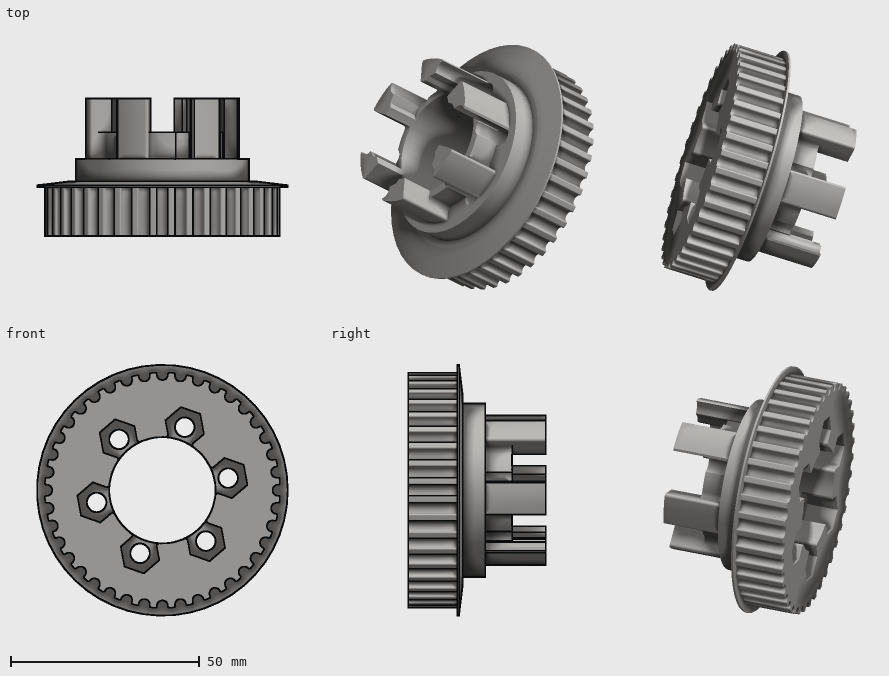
import cadquery as cq
import math

TOOTH_LENGTH = 13.0
RIM_THICKNESS = 0.5
CONE_HEIGHT = 1.0
HUB_LENGTH = 6.0
RING_LENGTH = 7.05
POST_LENGTH = 9.0

RIM_Y = TOOTH_LENGTH
CONE_Y = RIM_Y + RIM_THICKNESS
HUB_Y = CONE_Y + CONE_HEIGHT
RING_Y = HUB_Y + HUB_LENGTH
POST_Y = RING_Y + RING_LENGTH
END_Y = POST_Y + POST_LENGTH

FLANGE_RADIUS = 33.25
HUB_RADIUS = 46.0 / 2
CONE_TOP_RADIUS = 25.0
BORE_RADIUS = 28.1 / 2
POST_RADIUS = 20.35

TOOTH_COUNT = 40
TOOTH_PITCH = 360 / TOOTH_COUNT
TIP_RADIUS = 31.2
GROOVE_DEPTH = 2.0
GROOVE_RADIUS = 1.45
TIP_ROUND = 0.4

STATION_COUNT = 6
STATION_PITCH = 360 / STATION_COUNT
FIRST_BOLT_ANGLE = 10.5
BOLT_CIRCLE_RADIUS = 17.72
BOLT_HOLE_RADIUS = 5.1 / 2
NUT_WIDTH = 9.4
POCKET_DEPTH = 8.3
CORNER_ROUND = 0.7

SLOT_TURN = 25.5
SLOT_ANGLE = FIRST_BOLT_ANGLE + SLOT_TURN
SLOT_RADIUS = 1.63
SLOT_FLOOR_RADIUS = BOLT_CIRCLE_RADIUS - SLOT_RADIUS
HOLE_LIP_RADIUS = 19.95
HOLE_LIP_LEAD = 3.3
POST_LEAD = 5.0
TOE_RADIUS = 16.35
TOE_LEAD = 7.3
TOE_BEND_RADIUS = 15.3
TOE_BEND_LEAD = 15.3
TOE_ROOT_LEAD = 18.4

CLEAR_RADIUS = 26.6
COVER_RADIUS = CLEAR_RADIUS + 3.3
PICK_TOLERANCE = 0.005


def polar(radius, degrees):
    """Point in the XZ plane at a radius and an angle from +X toward +Z."""
    angle = math.radians(degrees)
    return (radius * math.cos(angle), radius * math.sin(angle))


def beside_slot(distance):
    """Point on the far slot flank: out along the slot angle and one slot radius past it."""
    along_x, along_z = polar(distance, SLOT_ANGLE)
    side_x, side_z = polar(SLOT_RADIUS, SLOT_ANGLE + 90)
    return (along_x + side_x, along_z + side_z)


def section(y):
    """Sketch plane facing -Y, so a negative extrusion runs toward +Y."""
    return cq.Workplane("XZ", origin=(0, y, 0))


def disc(radius, y_start, y_end):
    return section(y_start).circle(radius).extrude(y_start - y_end)


def prism(points, y_start, y_end):
    return section(y_start).polyline(points).close().extrude(y_start - y_end)


def turned(shape, degrees):
    return shape.rotate((0, 0, 0), (0, 1, 0), degrees)


def tooth_groove():
    """Round-bottomed groove at +Z whose sides roll over into the tooth tips."""
    center_z = TIP_RADIUS - GROOVE_DEPTH + GROOVE_RADIUS
    round_x = GROOVE_RADIUS + TIP_ROUND
    round_z = math.sqrt((TIP_RADIUS - TIP_ROUND) ** 2 - round_x**2)
    tip_angle = math.atan2(round_z, round_x)
    tip_x = TIP_RADIUS * math.cos(tip_angle)
    tip_z = TIP_RADIUS * math.sin(tip_angle)
    mid_angle = (tip_angle + math.pi) / 2
    mid_x = round_x + TIP_ROUND * math.cos(mid_angle)
    mid_z = round_z + TIP_ROUND * math.sin(mid_angle)
    return (
        section(0)
        .moveTo(-tip_x, tip_z)
        .threePointArc((-mid_x, mid_z), (-GROOVE_RADIUS, round_z))
        .lineTo(-GROOVE_RADIUS, center_z)
        .threePointArc((0, center_z - GROOVE_RADIUS), (GROOVE_RADIUS, center_z))
        .lineTo(GROOVE_RADIUS, round_z)
        .threePointArc((mid_x, mid_z), (tip_x, tip_z))
        .lineTo(tip_x, FLANGE_RADIUS)
        .lineTo(-tip_x, FLANGE_RADIUS)
        .close()
        .extrude(-TOOTH_LENGTH)
        .val()
    )


def toothed_wheel():
    groove = tooth_groove()
    grooves = [turned(groove, i * TOOTH_PITCH) for i in range(TOOTH_COUNT)]
    wheel = disc(TIP_RADIUS, 0, TOOTH_LENGTH).val()
    return cq.Workplane(wheel.cut(*grooves))


def flange_and_hub():
    """Thin rim, shallow cone and cylindrical hub, turned as one profile."""
    profile = [
        (0, RIM_Y),
        (FLANGE_RADIUS, RIM_Y),
        (FLANGE_RADIUS, CONE_Y),
        (CONE_TOP_RADIUS, HUB_Y),
        (HUB_RADIUS, HUB_Y),
        (HUB_RADIUS, RING_Y),
        (0, RING_Y),
    ]
    return cq.Workplane("XY").polyline(profile).close().revolve(360, (0, 0, 0), (0, 1, 0))


def nut_pocket():
    """Hexagonal pocket, flat side outward, whose inner side opens into the bore."""
    corner_radius = NUT_WIDTH / math.sqrt(3)
    center_x, center_z = polar(BOLT_CIRCLE_RADIUS, FIRST_BOLT_ANGLE)
    corners = []
    for i in range(6):
        offset_x, offset_z = polar(corner_radius, FIRST_BOLT_ANGLE + 30 + i * 60)
        corners.append((center_x + offset_x, center_z + offset_z))
    return prism(corners, 0, POCKET_DEPTH).val()


def bolt_hole():
    center = polar(BOLT_CIRCLE_RADIUS, FIRST_BOLT_ANGLE)
    return section(0).center(*center).circle(BOLT_HOLE_RADIUS).extrude(-END_Y).val()


def post_gap():
    """Full-height space between two posts, from the bolt hole to the straight slot flank."""
    bolt = FIRST_BOLT_ANGLE
    outline = [
        polar(BORE_RADIUS, bolt - TOE_ROOT_LEAD),
        polar(TOE_BEND_RADIUS, bolt - TOE_BEND_LEAD),
        polar(TOE_RADIUS, bolt - TOE_LEAD),
        polar(BOLT_CIRCLE_RADIUS, bolt),
        polar(HOLE_LIP_RADIUS, bolt - HOLE_LIP_LEAD),
        polar(POST_RADIUS, bolt - POST_LEAD),
        polar(CLEAR_RADIUS, bolt - POST_LEAD),
        beside_slot(CLEAR_RADIUS),
        beside_slot(0),
        (0, 0),
    ]
    return prism(outline, RING_Y, END_Y)


def bayonet_slot():
    """Gap between two posts that leaves a low ring with a round slot end at its foot."""
    gap = post_gap()
    tall = gap.cut(disc(COVER_RADIUS, RING_Y, POST_Y))
    end_center = polar(BOLT_CIRCLE_RADIUS, SLOT_ANGLE)
    inner_corner = prism(
        [beside_slot(0), beside_slot(BOLT_CIRCLE_RADIUS), end_center, (0, 0)], RING_Y, END_Y
    )
    round_end = section(RING_Y).center(*end_center).circle(SLOT_RADIUS).extrude(RING_Y - END_Y)
    low = gap.cut(inner_corner).union(round_end).cut(disc(SLOT_FLOOR_RADIUS, RING_Y, POST_Y))
    return low.union(tall).val()


def axial_edges(solid, radius, y_start, y_end):
    """Edges parallel to Y at a radius and within a stretch of the axis."""
    found = []
    for edge in solid.edges("|Y").vals():
        box = edge.BoundingBox()
        center = edge.Center()
        on_radius = abs(math.hypot(center.x, center.z) - radius) < PICK_TOLERANCE
        in_stretch = box.ymin > y_start - PICK_TOLERANCE and box.ymax < y_end + PICK_TOLERANCE
        if on_radius and in_stretch:
            found.append(edge)
    return found


def on_slot_flank(edge):
    """True for a post's outer edge beside a slot, false for one beside a bolt hole."""
    center = edge.Center()
    angle = math.degrees(math.atan2(center.z, center.x))
    turn = (angle - FIRST_BOLT_ANGLE) % STATION_PITCH
    return SLOT_TURN < turn < STATION_PITCH - 2 * POST_LEAD


body = toothed_wheel().union(flange_and_hub()).union(disc(POST_RADIUS, RING_Y, END_Y))
body = body.cut(disc(BORE_RADIUS, 0, END_Y))
for cutter in (bayonet_slot(), nut_pocket(), bolt_hole()):
    for i in range(STATION_COUNT):
        body = body.cut(cq.Workplane(turned(cutter, i * STATION_PITCH)))

mouth_edges = axial_edges(body, BORE_RADIUS, 0, POCKET_DEPTH)
post_edges = [e for e in axial_edges(body, POST_RADIUS, RING_Y, END_Y) if on_slot_flank(e)]
result = body.newObject(mouth_edges + post_edges).fillet(CORNER_ROUND)